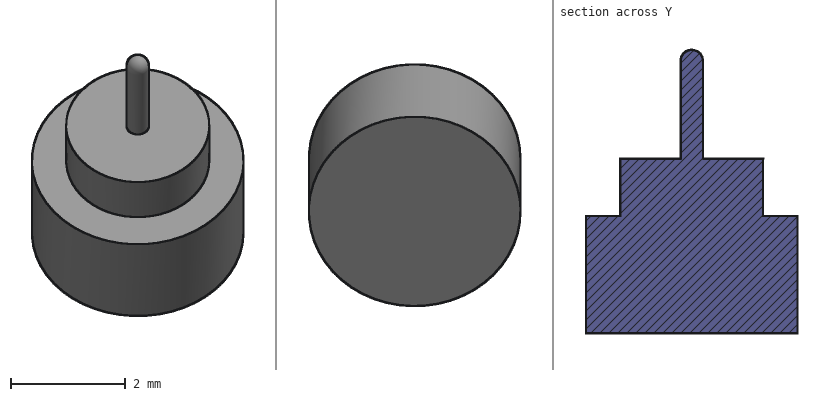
import cadquery as cq

total_height = 4.95
base_diameter = 3.7
base_height = 2.05
collar_diameter = 2.5
collar_height = 1.0
insert_diameter = 1.95
pin_diameter = 0.395

collar_top = base_height + collar_height
pin_radius = pin_diameter / 2


def cylinder(diameter, bottom, top):
    """Upright cylinder on the Z axis between two heights."""
    return cq.Workplane("XY").workplane(offset=bottom).circle(diameter / 2).extrude(top - bottom)


base = cylinder(base_diameter, 0, base_height)
collar = cylinder(collar_diameter, base_height, collar_top)
body = base.union(collar)

insert = cylinder(insert_diameter, base_height, collar_top)
body = body.cut(insert).union(insert, clean=False)

pin_profile = (
    cq.Workplane("XZ")
    .moveTo(0, collar_top)
    .lineTo(pin_radius, collar_top)
    .lineTo(pin_radius, total_height - pin_radius)
    .radiusArc((0, total_height), -pin_radius)
    .close()
)
pin = pin_profile.revolve(360, (0, 0, 0), (0, 1, 0))

result = body.union(pin, clean=False)